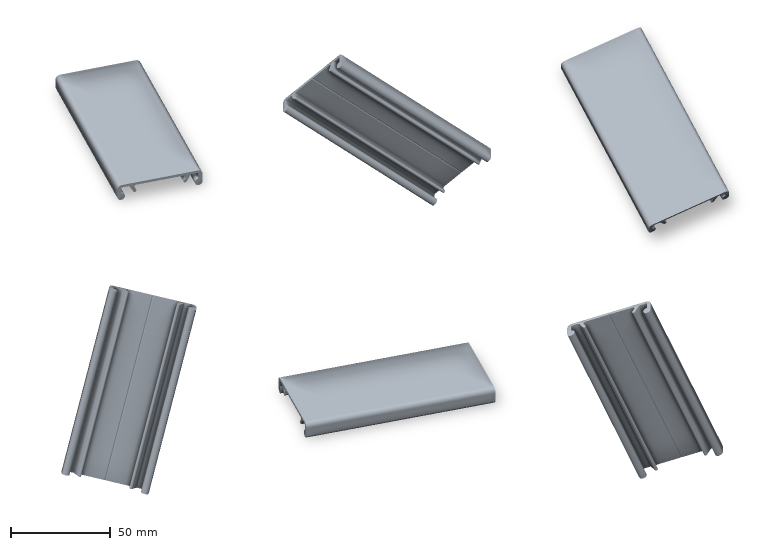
import cadquery as cq
import math

length = 100.0
width = 45.0
height = 9.1
top_thickness = 1.5
wall_thickness = 2.0
outer_radius = 2.5
inner_radius = 0.7

bead_radius = 2.0

rib_tip_inset = 9.2
rib_tip_depth = 5.1
rib_radius = 0.8
rib_angle = math.radians(60)
rib_inner_root_radius = 1.0
rib_outer_root_radius = 0.5

groove_width = 1.0
groove_depth = 0.3

half_width = width / 2
top_z = height / 2
plate_underside = top_z - top_thickness
bead_y = half_width - bead_radius
bead_z = -top_z + bead_radius
rib_tip_y = half_width - rib_tip_inset
rib_tip_z = top_z - rib_tip_depth


def bar(y, z, y_size, z_size):
    """Full-length rectangular bar centred at (y, z)."""
    return cq.Workplane("XY").box(length, y_size, z_size).translate((0, y, z))


def rod(y, z, radius):
    """Full-length round rod centred at (y, z)."""
    return cq.Workplane("YZ").center(y, z).circle(radius).extrude(length / 2, both=True)


def make_channel():
    """Rounded top plate with two side walls that end at the bead centres."""
    channel_height = top_z - bead_z
    middle_z = (top_z + bead_z) / 2
    outside = bar(0, middle_z, width, channel_height)
    outside = outside.edges("|X and >Z").fillet(outer_radius)
    cavity = bar(0, middle_z - top_thickness, width - 2 * wall_thickness, channel_height)
    cavity = cavity.edges("|X and >Z").fillet(inner_radius)
    return outside.cut(cavity)


def make_rib(side):
    """Rib on one side (+1 or -1), rooted halfway into the top plate."""
    across_y = rib_radius * math.sin(rib_angle)
    across_z = rib_radius * math.cos(rib_angle)
    root_z = top_z - top_thickness / 2
    rise = root_z - rib_tip_z
    root_y = rib_tip_y + rise / math.tan(rib_angle)
    root_half_width = rib_radius / math.sin(rib_angle)
    outline = [
        (side * (rib_tip_y + across_y), rib_tip_z - across_z),
        (side * (root_y + root_half_width), root_z),
        (side * (root_y - root_half_width), root_z),
        (side * (rib_tip_y - across_y), rib_tip_z + across_z),
    ]
    blade = cq.Workplane("YZ").polyline(outline).close().extrude(length / 2, both=True)
    return blade.union(rod(side * rib_tip_y, rib_tip_z, rib_radius))


def round_rib_roots(body):
    """Fillet the corners where the ribs meet the underside of the top plate."""
    root_centre_y = rib_tip_y + (plate_underside - rib_tip_z) / math.tan(rib_angle)
    root_half_width = rib_radius / math.sin(rib_angle)
    for side in (-1, 1):
        for offset, radius in (
            (-root_half_width, rib_inner_root_radius),
            (root_half_width, rib_outer_root_radius),
        ):
            corner = (0, side * (root_centre_y + offset), plate_underside)
            body = body.edges(cq.selectors.NearestToPointSelector(corner)).fillet(radius)
    return body


def make_groove():
    """Triangular bar that cuts the V-groove."""
    outline = [
        (-groove_width / 2, plate_underside),
        (groove_width / 2, plate_underside),
        (0, plate_underside + groove_depth),
    ]
    return cq.Workplane("YZ").polyline(outline).close().extrude(length / 2, both=True)


result = make_channel()
for side in (-1, 1):
    result = result.union(rod(side * bead_y, bead_z, bead_radius))
    result = result.union(make_rib(side))
result = round_rib_roots(result).cut(make_groove())